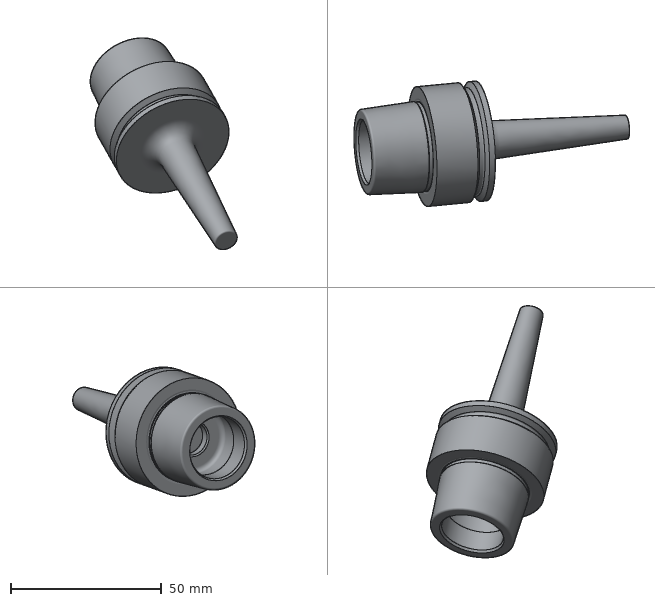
import cadquery as cq
import math

collar_start = 20.0
collar_end = 40.0
total_length = 90.0
collar_radius = 20.0

taper_end_radius = 14.25
taper_ratio = 1 / 9.98
taper_length = 18.0
taper_edge_round = 0.7
land_length = 0.5
relief_radius = 14.8
relief_chamfer = 0.3

undercut_radius = 16.0
undercut_floor_radius = 15.5
undercut_depth = 0.1
undercut_round = 0.6

groove_start = 34.0
groove_end = 38.0
groove_bottom_radius = 17.5
groove_flank_angle = math.radians(30)
groove_slot_width = 1.8
groove_bottom_round = 0.4

nose_tip_radius = 4.0
nose_half_angle = math.radians(3)
nose_root_radius = nose_tip_radius + (total_length - collar_end) * math.tan(nose_half_angle)
nose_root_round = 5.0
nose_tip_round = 0.5

bore_radius = 10.5
bore_chamfer_height = 0.5
bore_chamfer_angle = math.radians(30)
bore_length = 8.0
cavity_radius = 11.5
cavity_depth = 16.6
cavity_round = 1.6
coolant_hole_radius = 5.5
coolant_hole_chamfer = 0.5
coolant_hole_depth = 20.0


def revolve_about_x(outline):
    """Revolve a closed (x, radius) outline about the X axis."""
    return outline.close().revolve(360, (0, 0, 0), (1, 0, 0))


def round_edges(body, x, radius, size):
    """Round the circular edges of the given radius lying at the given x."""
    near = 0.001
    ring = cq.selectors.BoxSelector(
        (x - near, -radius - near, -radius - near),
        (x + near, radius + near, radius + near),
        boundingbox=True,
    )
    return body.edges(ring).fillet(size)


def shank():
    land_radius = taper_end_radius + taper_length * taper_ratio / 2
    land_end = taper_length + land_length
    relief_start = land_end + relief_chamfer
    overlap = 1.0
    outline = (
        cq.Workplane("XY")
        .lineTo(0, taper_end_radius)
        .lineTo(taper_length, land_radius)
        .lineTo(land_end, land_radius)
        .lineTo(relief_start, relief_radius)
        .lineTo(collar_start + overlap, relief_radius)
        .lineTo(collar_start + overlap, 0)
    )
    return round_edges(revolve_about_x(outline), 0, taper_end_radius, taper_edge_round)


def collar():
    groove_center = (groove_start + groove_end) / 2
    slot_start = groove_center - groove_slot_width / 2
    slot_end = groove_center + groove_slot_width / 2
    slot_mouth_radius = collar_radius - (slot_start - groove_start) / math.tan(groove_flank_angle)
    outline = (
        cq.Workplane("XY")
        .moveTo(collar_start, 0)
        .lineTo(collar_start, collar_radius)
        .lineTo(groove_start, collar_radius)
        .lineTo(slot_start, slot_mouth_radius)
        .lineTo(slot_start, groove_bottom_radius)
        .lineTo(slot_end, groove_bottom_radius)
        .lineTo(slot_end, slot_mouth_radius)
        .lineTo(groove_end, collar_radius)
        .lineTo(collar_end, collar_radius)
        .lineTo(collar_end, 0)
    )
    body = revolve_about_x(outline)
    for x in (slot_start, slot_end):
        body = round_edges(body, x, groove_bottom_radius, groove_bottom_round)
    return body


def undercut():
    floor_x = collar_start + undercut_depth
    outline = (
        cq.Workplane("XY")
        .moveTo(collar_start, undercut_radius)
        .lineTo(floor_x, undercut_floor_radius)
        .lineTo(floor_x, relief_radius + undercut_round)
        .radiusArc((floor_x - undercut_round, relief_radius), undercut_round)
        .lineTo(collar_start, relief_radius)
    )
    return revolve_about_x(outline)


def nose():
    outline = (
        cq.Workplane("XY")
        .moveTo(collar_end, 0)
        .lineTo(collar_end, nose_root_radius)
        .lineTo(total_length, nose_tip_radius)
        .lineTo(total_length, 0)
    )
    return round_edges(revolve_about_x(outline), total_length, nose_tip_radius, nose_tip_round)


def cavity():
    bore_chamfer_length = bore_chamfer_height / math.tan(bore_chamfer_angle)
    outline = (
        cq.Workplane("XY")
        .lineTo(0, bore_radius + bore_chamfer_height)
        .lineTo(bore_chamfer_length, bore_radius)
        .lineTo(bore_length, bore_radius)
        .lineTo(bore_length, cavity_radius)
        .lineTo(cavity_depth, cavity_radius)
        .lineTo(cavity_depth, 0)
    )
    return round_edges(revolve_about_x(outline), cavity_depth, cavity_radius, cavity_round)


def coolant_hole():
    outline = (
        cq.Workplane("XY")
        .moveTo(cavity_depth, 0)
        .lineTo(cavity_depth, coolant_hole_radius + coolant_hole_chamfer)
        .lineTo(cavity_depth + coolant_hole_chamfer, coolant_hole_radius)
        .lineTo(coolant_hole_depth, coolant_hole_radius)
        .lineTo(coolant_hole_depth, 0)
    )
    return revolve_about_x(outline)


head = round_edges(collar().union(nose()), collar_end, nose_root_radius, nose_root_round)
result = head.union(shank()).cut(undercut()).cut(cavity()).cut(coolant_hole())